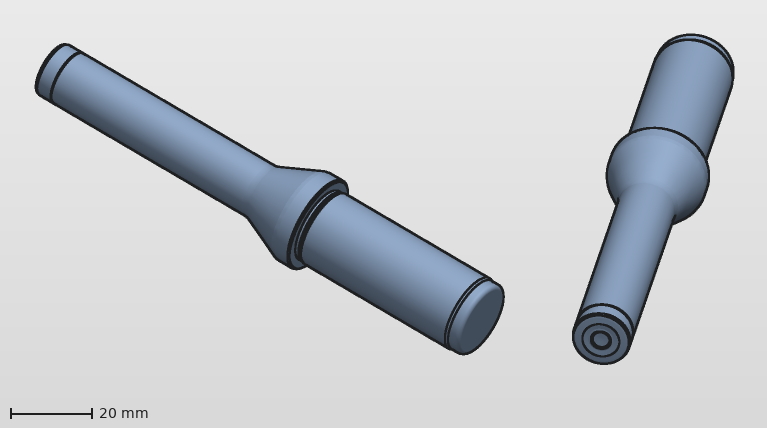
import cadquery as cq

total_length = 132.0
tip_length = 5.1
cone_start = 64.7
cone_end = 77.1
collar_end = 82.0
neck_groove_x = 83.2
handle_start = 84.0
handle_end = 128.0
pilot_start = 128.8

shaft_radius = 14.4 / 2
collar_radius = 25.0 / 2
handle_radius = 20.0 / 2
pilot_radius = 19.5 / 2

seam_chamfer = 0.1
neck_groove_depth = 0.2
neck_groove_half_width = 0.2
cone_root_fillet = 4.9
cone_crown_fillet = 2.9
collar_chamfer = 0.4
pilot_fillet = 1.2
tip_taper_length = 0.7
tip_taper_depth = 0.3

rim_drop = 0.3
land_radius = 6.2
land_drop = 0.16
boss_base_radius = 4.9
boss_base_drop = 0.07
boss_top_radius = 4.6
dish_radius = 3.2
dish_depth = 0.1
inner_boss_radius = 2.5
inner_boss_depth = 0.07
centre_radius = 2.1
centre_edge_depth = 0.3
centre_depth = 0.4


def turned(profile):
    """Revolve a closed (x, radius) outline about the X axis."""
    return cq.Workplane("XY").polyline(profile).close().revolve(360, (0, 0), (1, 0))


def circle_at(x, radius):
    """Select the round edge with the given axial position and radius."""
    reach = radius + 0.01
    inner = radius - 0.01
    thickness = 0.01
    outer_box = cq.selectors.BoxSelector(
        (x - thickness, -reach, -reach), (x + thickness, reach, reach), boundingbox=True
    )
    inner_box = cq.selectors.BoxSelector(
        (x - thickness, -inner, -inner), (x + thickness, inner, inner), boundingbox=True
    )
    return outer_box - inner_box


def make_tip():
    """Tip cap with a stepped, dished end face."""
    tip = turned([
        (centre_depth, 0),
        (centre_edge_depth, centre_radius),
        (inner_boss_depth, inner_boss_radius),
        (dish_depth, dish_radius),
        (0, boss_top_radius),
        (boss_base_drop, boss_base_radius),
        (land_drop, land_radius),
        (rim_drop, shaft_radius - tip_taper_depth),
        (rim_drop + tip_taper_length, shaft_radius),
        (tip_length, shaft_radius),
        (tip_length, 0),
    ])
    return tip.edges(circle_at(tip_length, shaft_radius)).chamfer(seam_chamfer)


def make_holder():
    """Shaft, conical collar and handle turned in one piece."""
    holder = turned([
        (tip_length, 0),
        (tip_length, shaft_radius),
        (cone_start, shaft_radius),
        (cone_end, collar_radius),
        (collar_end, collar_radius),
        (collar_end, pilot_radius),
        (neck_groove_x - neck_groove_half_width, pilot_radius),
        (neck_groove_x, pilot_radius - neck_groove_depth),
        (neck_groove_x + neck_groove_half_width, pilot_radius),
        (handle_start, handle_radius),
        (handle_end, handle_radius),
        (pilot_start, pilot_radius),
        (total_length, pilot_radius),
        (total_length, 0),
    ])
    holder = holder.edges(circle_at(tip_length, shaft_radius)).chamfer(seam_chamfer)
    holder = holder.edges(circle_at(cone_start, shaft_radius)).fillet(cone_root_fillet)
    holder = holder.edges(circle_at(cone_end, collar_radius)).fillet(cone_crown_fillet)
    holder = holder.edges(circle_at(collar_end, collar_radius)).chamfer(collar_chamfer)
    return holder.edges(circle_at(total_length, pilot_radius)).fillet(pilot_fillet)


tip = make_tip()
holder = make_holder()
result = cq.Compound.makeCompound([tip.val(), holder.val()])